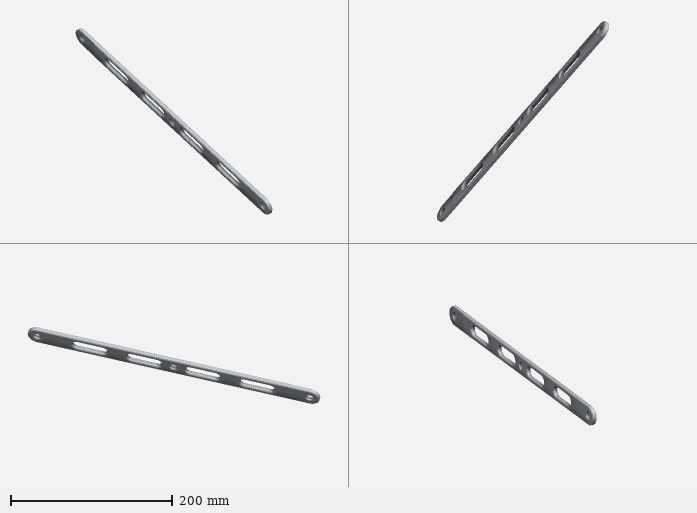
import cadquery as cq

LENGTH = 375.0
HEIGHT = 25.0
THICKNESS = 6.0
EDGE_CHAMFER = 1.0

HOLE_DIAMETER = 10.0
HOLE_CHAMFER = 0.5
SLOT_LENGTH = 45.0
SLOT_HEIGHT = 14.0
INNER_SLOT_X = 37.5
SLOT_PITCH = 70.0

RELIEF_LENGTH = 37.5
RELIEF_DEPTH = 0.8

BACK_Y = THICKNESS / 2
END_HOLE_X = (LENGTH - HEIGHT) / 2
OUTER_SLOT_X = INNER_SLOT_X + SLOT_PITCH
FRONT_Y = -BACK_Y
RELIEF_FLOOR_Y = FRONT_Y + RELIEF_DEPTH
HOLES = [(-END_HOLE_X, RELIEF_FLOOR_Y), (0, FRONT_Y), (END_HOLE_X, FRONT_Y)]
SLOT_CENTERS = [(x, 0) for x in (-OUTER_SLOT_X, -INNER_SLOT_X, INNER_SLOT_X, OUTER_SLOT_X)]


def back_plane():
    """XZ sketch plane on the back (+Y) face; extruding runs towards -Y."""
    return cq.Workplane("XZ", origin=(0, BACK_Y, 0))


def make_bar():
    """Round-ended bar with slots, chamfered along every edge of both faces."""
    bar = back_plane().slot2D(LENGTH, HEIGHT).extrude(THICKNESS)
    slots = back_plane().pushPoints(SLOT_CENTERS).slot2D(SLOT_LENGTH, SLOT_HEIGHT).extrude(THICKNESS)
    return bar.cut(slots).faces("<Y or >Y").edges().chamfer(EDGE_CHAMFER)


def hole_cutter(x, front_y):
    """Through-hole cutter at x that flares at the back face and at a front face lying at front_y."""
    radius = HOLE_DIAMETER / 2
    mouth_radius = radius + HOLE_CHAMFER
    profile = [
        (0, front_y),
        (mouth_radius, front_y),
        (radius, front_y + HOLE_CHAMFER),
        (radius, BACK_Y - HOLE_CHAMFER),
        (mouth_radius, BACK_Y),
        (0, BACK_Y),
    ]
    cutter = cq.Workplane("XY").polyline(profile).close().revolve(axisStart=(0, 0), axisEnd=(0, 1))
    return cutter.translate((x, 0, 0))


def make_relief():
    """Block that thins the -X end from the front (-Y) face."""
    corner = (-LENGTH / 2, FRONT_Y, -HEIGHT / 2)
    return cq.Workplane("XY", origin=corner).box(RELIEF_LENGTH, RELIEF_DEPTH, HEIGHT, centered=False)


result = make_bar().cut(make_relief())
for hole_x, front_y in HOLES:
    result = result.cut(hole_cutter(hole_x, front_y))